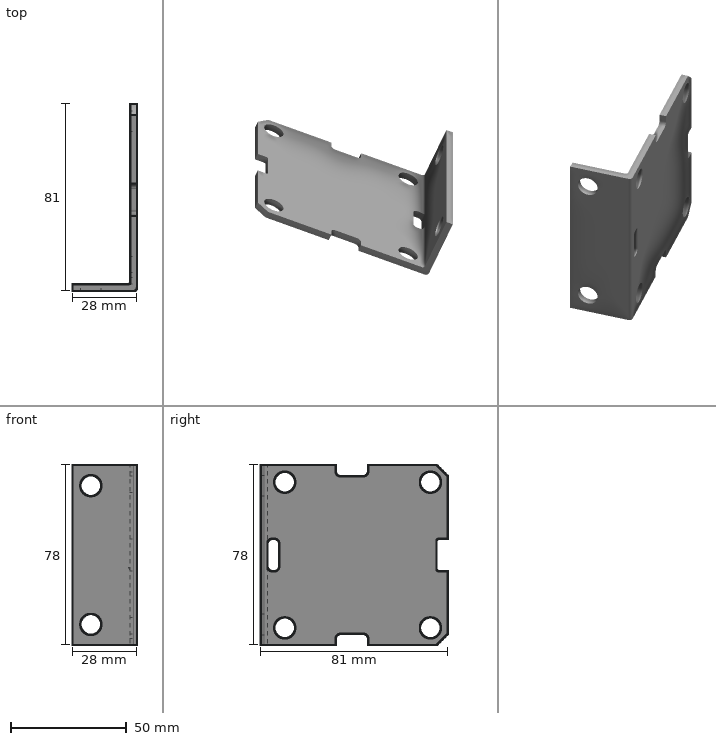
import cadquery as cq

flange_length = 28.0
plate_length = 81.0
height = 78.0
thickness = 3.0
inner_bend_radius = 1.0
outer_bend_radius = 1.5

hole_diameter = 9.0
plate_hole_edge = 7.5
plate_hole_spacing = 63.0
flange_hole_edge = 8.0
flange_hole_spacing = 60.0

corner_chamfer = 4.9
notch_width = 13.9
notch_depth = 4.9
side_notch_center_y = 39.5
side_notch_radius = 2.0
end_notch_radius = 1.0

slot_width = 5.0
slot_length = notch_width
slot_radius = 2.0

plate_hole_far_y = plate_length - plate_hole_edge
plate_hole_near_y = plate_hole_far_y - plate_hole_spacing
flange_hole_x = -flange_length + flange_hole_edge


def bent_sheet():
    """L-shaped sheet with a rounded bend."""
    profile = [
        (0, 0),
        (0, plate_length),
        (-thickness, plate_length),
        (-thickness, thickness),
        (-flange_length, thickness),
        (-flange_length, 0),
    ]
    sheet = cq.Workplane("XY").polyline(profile).close().extrude(height / 2, both=True)
    sheet = sheet.edges(cq.selectors.NearestToPointSelector((0, 0, 0))).fillet(outer_bend_radius)
    inner_corner = cq.selectors.NearestToPointSelector((-thickness, thickness, 0))
    return sheet.edges(inner_corner).fillet(inner_bend_radius)


def plate_cutter(center_y, center_z, size_y, size_z, radius):
    """Rounded rectangular cutter along X, through the plate and the inner bend fillet."""
    return (
        cq.Workplane("YZ")
        .center(center_y, center_z)
        .rect(size_y, size_z)
        .extrude(-(thickness + inner_bend_radius))
        .edges("|X")
        .fillet(radius)
    )


def plate_holes():
    """Four holes through the plate."""
    half_spacing = plate_hole_spacing / 2
    centers = [(y, z) for y in (plate_hole_near_y, plate_hole_far_y) for z in (-half_spacing, half_spacing)]
    return cq.Workplane("YZ").pushPoints(centers).circle(hole_diameter / 2).extrude(-thickness)


def flange_holes():
    """Two holes through the flange."""
    half_spacing = flange_hole_spacing / 2
    centers = [(flange_hole_x, z) for z in (-half_spacing, half_spacing)]
    return cq.Workplane("XZ").pushPoints(centers).circle(hole_diameter / 2).extrude(-thickness)


result = bent_sheet()
result = result.edges("|X and >Y").chamfer(corner_chamfer)
result = result.cut(plate_holes()).cut(flange_holes())

for edge_z in (-height / 2, height / 2):
    side_notch = plate_cutter(side_notch_center_y, edge_z, notch_width, 2 * notch_depth, side_notch_radius)
    result = result.cut(side_notch)
result = result.cut(plate_cutter(plate_length, 0, 2 * notch_depth, notch_width, end_notch_radius))

slot_center_y = thickness + slot_width / 2
slot = plate_cutter(slot_center_y, 0, slot_width, slot_length, slot_radius)
result = result.cut(slot)